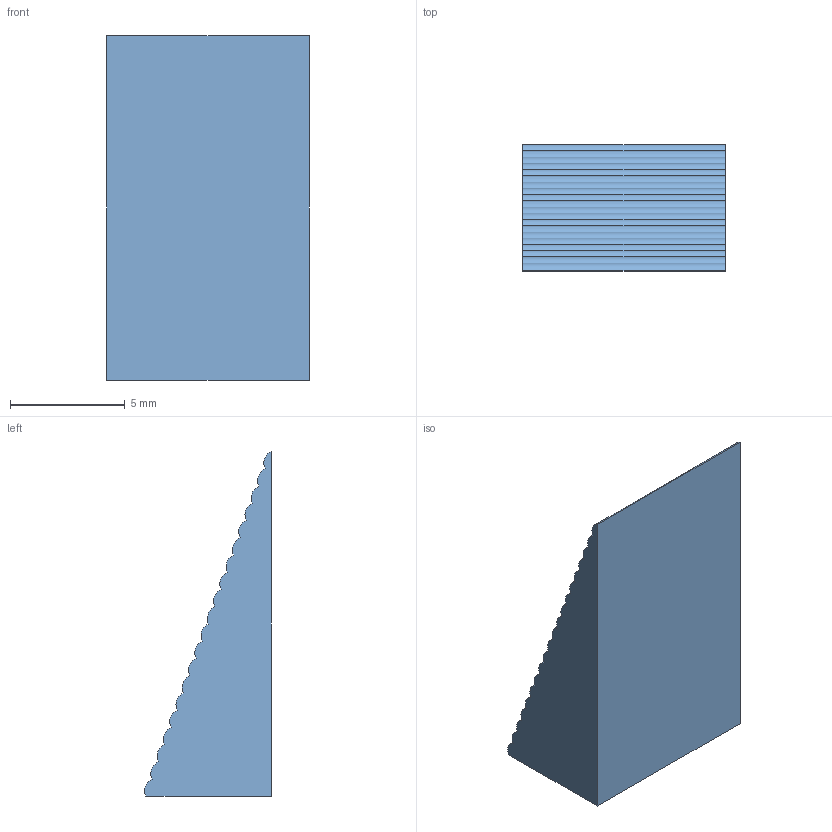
import cadquery as cq
import math

width = 8.8
height = 15.0
slope_angle = 20.0
scallop_count = 20
scallop_radius = 0.55

base_depth = height * math.tan(math.radians(slope_angle))
step_y = base_depth / scallop_count
step_z = height / scallop_count
chord = math.hypot(step_y, step_z)
bulge = scallop_radius - math.sqrt(scallop_radius**2 - (chord / 2)**2)

normal_y = step_z / chord
normal_z = step_y / chord


def add_scallop(outline, index):
    """Add the arc of one scallop, counted upward from the foot of the slope."""
    crest_y = base_depth - (index + 0.5) * step_y + bulge * normal_y
    crest_z = (index + 0.5) * step_z + bulge * normal_z
    end_y = base_depth - (index + 1) * step_y
    end_z = (index + 1) * step_z
    return outline.threePointArc((crest_y, crest_z), (end_y, end_z))


def make_wedge():
    """Extrude the wedge profile, flat at the back and scalloped on the slope."""
    outline = cq.Workplane("YZ", origin=(-width / 2, 0, 0)).moveTo(0, 0).lineTo(base_depth, 0)
    for index in range(scallop_count):
        outline = add_scallop(outline, index)
    return outline.close().extrude(width)


result = make_wedge()